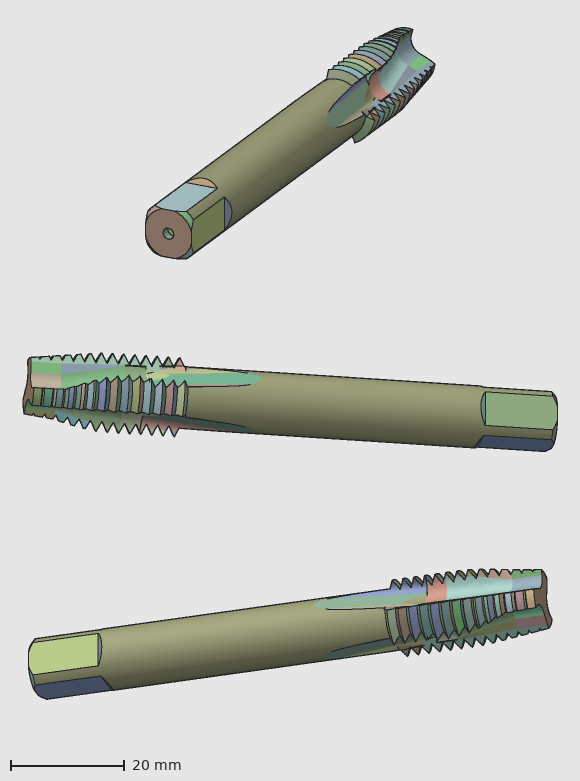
import cadquery as cq
import math

LENGTH = 94.0

SHANK_DIAMETER = 11.0
SHANK_RADIUS = SHANK_DIAMETER / 2
SQUARE_WIDTH = 9.0
SQUARE_LENGTH = 14.0
SQUARE_SIDES = 4
RUNOUT_HEIGHT = 1.0
END_CHAMFER = 0.8
CENTRE_RADIUS = 1.0
CENTRE_DEPTH = 1.9

THREAD_DIAMETER = 14.0
CREST_RADIUS = THREAD_DIAMETER / 2
ROOT_RADIUS = 5.2
RING_COUNT = 14
FIRST_CREST_FROM_TIP = 0.7
LAST_CREST_FROM_TIP = 26.7
PITCH = (LAST_CREST_FROM_TIP - FIRST_CREST_FROM_TIP) / (RING_COUNT - 1)
TIP_RADIUS = 5.4
LEAD_LENGTH = 13.2

FLUTE_COUNT = 3
FLUTE_DIRECTION = 150.0
FACE_X = -2.3
REACH = 11.3
OVERRUN = 0.9
POINT_LENGTH = 5.45
TWIST_END_FROM_TIP = 16.9

TIP_FACE_FOOT_Z = 4.0
TIP_HOOK_END = (-2.1, 2.1)
TIP_HEEL_START = (-4.0, -1.5)
TIP_HEEL_ANGLE = 195.0
PLAIN_FACE_FOOT_Z = 4.6
PLAIN_HOOK_END = (-2.35, 4.4)
PLAIN_HEEL_START = (-6.8, 0.9)
SHALLOW_FACE_FOOT_Z = 5.2
SHALLOW_HOOK_END = (-2.35, 5.0)
SHALLOW_HEEL_START = (-8.7, 2.2)

RUNOUT_BOTTOM_U = 3.6
RUNOUT_START_FROM_TIP = 20.7
RUNOUT_END_FROM_TIP = 40.9
RUNOUT_FACE_V = -2.1
RUNOUT_HEEL_V = 2.9
RUNOUT_FACE_SLANT = 60.0
RUNOUT_FACE_FILLET = 1.9
RUNOUT_HEEL_FILLET = 1.4


def revolve_about_y(points):
    """Turn a closed outline of (radius, Y) points about the Y axis."""
    return cq.Workplane("XY").polyline(points).close().revolve(360, (0, 0, 0), (0, 1, 0))


def make_shank():
    blank = revolve_about_y([
        (0, 0),
        (SHANK_RADIUS - END_CHAMFER, 0),
        (SHANK_RADIUS, END_CHAMFER),
        (SHANK_RADIUS, LENGTH - LAST_CREST_FROM_TIP),
        (0, LENGTH - LAST_CREST_FROM_TIP),
    ])
    half = SQUARE_WIDTH / 2
    flat_end = SQUARE_LENGTH - RUNOUT_HEIGHT
    flat_cutter = (
        cq.Workplane("XY")
        .polyline([
            (half, -OVERRUN),
            (half, flat_end),
            (half + REACH, flat_end + REACH),
            (half + REACH, -OVERRUN),
        ])
        .close()
        .extrude(REACH, both=True)
    )
    for side in range(SQUARE_SIDES):
        blank = blank.cut(flat_cutter.rotate((0, 0, 0), (0, 1, 0), side * 360 / SQUARE_SIDES))
    centre = cq.Workplane("XZ").circle(CENTRE_RADIUS).extrude(-CENTRE_DEPTH)
    return blank.cut(centre)


def make_thread():
    last_crest = LENGTH - LAST_CREST_FROM_TIP
    outline = [(0, last_crest - PITCH / 2), (ROOT_RADIUS, last_crest - PITCH / 2)]
    for ring in range(RING_COUNT):
        crest_y = last_crest + ring * PITCH
        outline.append((CREST_RADIUS, crest_y))
        outline.append((ROOT_RADIUS, crest_y + PITCH / 2))
    outline.append((0, outline[-1][1]))
    envelope = revolve_about_y([
        (0, last_crest - PITCH),
        (CREST_RADIUS, last_crest - PITCH),
        (CREST_RADIUS, LENGTH - LEAD_LENGTH),
        (TIP_RADIUS, LENGTH),
        (0, LENGTH),
    ])
    return revolve_about_y(outline).intersect(envelope)


def polar(start, angle, distance):
    """Point at a distance from the start along an angle in degrees."""
    turn = math.radians(angle)
    return (start[0] + distance * math.cos(turn), start[1] + distance * math.sin(turn))


def flute_section(from_tip, face_foot_z, hook_end, heel_start, heel_angle):
    """Closed wire of the flute at a distance from the tip."""
    heel_end = polar(heel_start, heel_angle, REACH)
    return (
        cq.Workplane("XZ", origin=(0, LENGTH - from_tip, 0))
        .moveTo(*heel_end)
        .lineTo(*heel_start)
        .tangentArcPoint(hook_end, relative=False)
        .lineTo(FACE_X, face_foot_z)
        .lineTo(FACE_X, REACH)
        .lineTo(heel_end[0], REACH)
        .close()
        .val()
    )


def make_spiral_point_cutter():
    """Flute that opens sideways at the tip and grows shallow at the last thread ring."""
    tip_shape = (TIP_FACE_FOOT_Z, TIP_HOOK_END, TIP_HEEL_START, TIP_HEEL_ANGLE)
    plain_shape = (PLAIN_FACE_FOOT_Z, PLAIN_HOOK_END, PLAIN_HEEL_START, FLUTE_DIRECTION)
    shallow_shape = (SHALLOW_FACE_FOOT_Z, SHALLOW_HOOK_END, SHALLOW_HEEL_START, FLUTE_DIRECTION)
    sections = [
        flute_section(-OVERRUN, *tip_shape),
        flute_section(POINT_LENGTH, *tip_shape),
        flute_section(TWIST_END_FROM_TIP, *plain_shape),
        flute_section(RUNOUT_START_FROM_TIP, *plain_shape),
        flute_section(LAST_CREST_FROM_TIP + PITCH / 2, *shallow_shape),
    ]
    return cq.Workplane(cq.Solid.makeLoft(sections, ruled=True))


def make_runout_cutter():
    """Flat-bottomed trough that climbs from the flute bottom to the shank surface."""
    length = RUNOUT_END_FROM_TIP - RUNOUT_START_FROM_TIP
    rise = math.degrees(math.atan2(SHANK_RADIUS - RUNOUT_BOTTOM_U, length))
    face_top = polar((0, RUNOUT_FACE_V), -RUNOUT_FACE_SLANT, REACH)
    trough = (
        cq.Workplane("XZ")
        .polyline([
            (0, RUNOUT_FACE_V),
            face_top,
            (REACH, RUNOUT_HEEL_V),
            (0, RUNOUT_HEEL_V),
        ])
        .close()
        .extrude(length + REACH)
    )
    corners = ((RUNOUT_FACE_V, RUNOUT_FACE_FILLET), (RUNOUT_HEEL_V, RUNOUT_HEEL_FILLET))
    for corner_v, radius in corners:
        edge_middle = (0, -(length + REACH) / 2, corner_v)
        trough = trough.edges(cq.selectors.NearestToPointSelector(edge_middle)).fillet(radius)
    trough = (
        trough
        .rotate((0, 0, 0), (0, 0, 1), rise)
        .translate((RUNOUT_BOTTOM_U, LENGTH - RUNOUT_START_FROM_TIP, 0))
        .rotate((0, 0, 0), (0, 1, 0), -FLUTE_DIRECTION)
    )
    beyond_face = (
        cq.Workplane("XY", origin=(FACE_X, LENGTH / 2, 0))
        .box(REACH * 2, LENGTH, REACH * 4, centered=(False, True, True))
    )
    return trough.cut(beyond_face)


result = make_shank().union(make_thread())
for cutter in (make_spiral_point_cutter(), make_runout_cutter()):
    for flute in range(FLUTE_COUNT):
        turn = flute * 360 / FLUTE_COUNT
        result = result.cut(cutter.rotate((0, 0, 0), (0, 1, 0), turn))